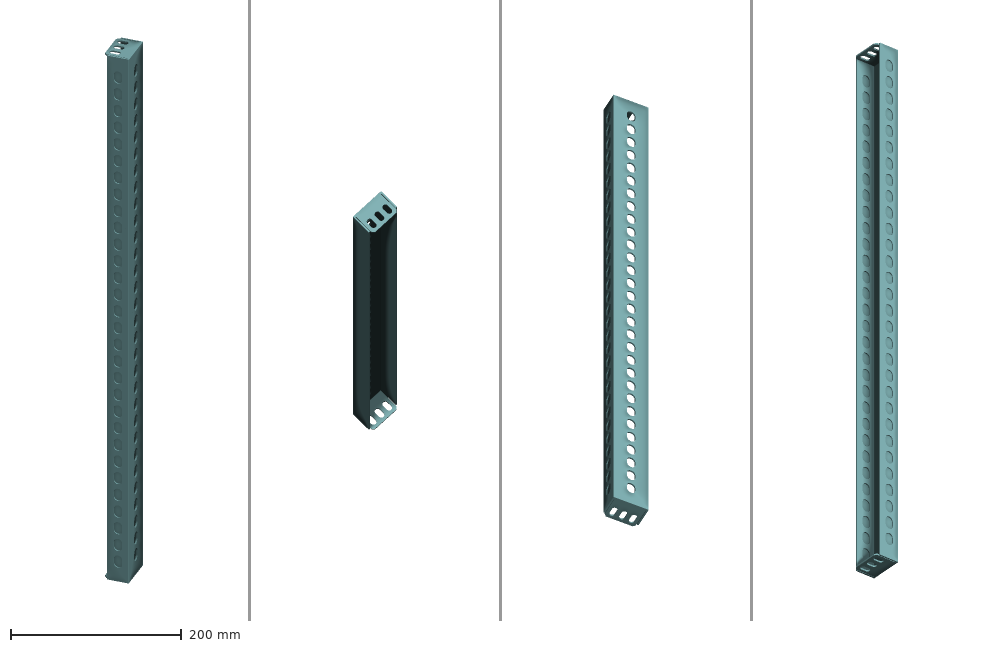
import cadquery as cq

length = 706.0
width = 46.0
depth = 32.0
wall = 2.0
inner_bend_radius = 1.0
outer_edge_radius = 0.35

flange_setback = 4.6
cap_gap = 1.0
slit_overrun = 1.0
cap_chamfer = 3.0

slot_count = 30
slot_span = 652.0
slot_pitch = slot_span / (slot_count - 1)
slot_width = 10.5
slot_height = 16.0
recess_depth = 1.5

cap_slot_count = 3
cap_slot_pitch = 13.0
cap_slot_length = 13.5
cap_slot_width = 7.0
cap_slot_x = 10.5

inner_width = width - 2 * wall
flange_middle_x = (flange_setback + depth) / 2
slit_size = wall + slit_overrun


def front_box(size_x, size_y, size_z):
    """Box from X = 0 backwards, centred on Y and Z."""
    return cq.Workplane("XY").box(size_x, size_y, size_z, centered=(False, True, True))


def make_tray():
    """Web, flanges and caps as one bent shell, open at X = 0."""
    outside = front_box(depth, width, length).faces(">X").edges().fillet(outer_edge_radius)
    inside = front_box(depth - wall, inner_width, length - 2 * wall)
    inside = inside.faces(">X").edges().fillet(inner_bend_radius)
    return outside.cut(inside)


def separate_caps(body):
    """Set the flanges back and slit the four joints between flanges and caps."""
    side_strip = wall + cap_gap
    setback_cut = front_box(flange_setback, side_strip, length)
    slit = front_box(depth - slit_size, cap_gap, slit_size)
    for side in (-1, 1):
        body = body.cut(setback_cut.translate((0, side * (width - side_strip) / 2, 0)))
        for end in (-1, 1):
            slit_y = side * (inner_width - cap_gap) / 2
            slit_z = end * (length - slit_size) / 2
            body = body.cut(slit.translate((0, slit_y, slit_z)))
    return body.edges("|Z and <X").chamfer(cap_chamfer)


def cap_slots():
    """Three slots side by side, running through both caps."""
    return (
        cq.Workplane("XY")
        .center(cap_slot_x, 0)
        .rarray(7, cap_slot_pitch, 1, cap_slot_count)
        .slot2D(cap_slot_length, cap_slot_width)
        .extrude(length / 2, both=True)
    )


def slot_row(plane, origin, cut_depth):
    """Row of upright slots, extruded from origin along the normal of the plane."""
    return (
        cq.Workplane(plane, origin=origin)
        .rarray(7, slot_pitch, 1, slot_count)
        .slot2D(slot_height, slot_width, 90)
        .extrude(cut_depth)
    )


result = separate_caps(make_tray())
result = result.cut(cap_slots())

result = result.cut(slot_row("YZ", (depth - wall, 0, 0), wall))

for face_y in (-width / 2, inner_width / 2):
    result = result.cut(slot_row("XZ", (flange_middle_x, face_y, 0), -recess_depth))